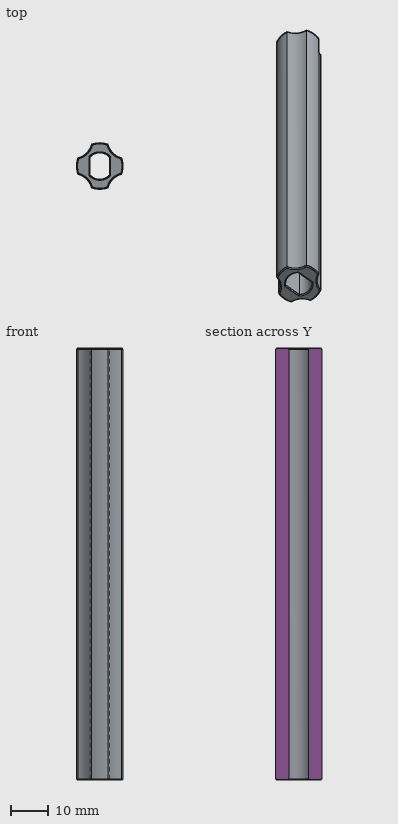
import cadquery as cq
import math

LENGTH = 115.6
OUTER_DIAMETER = 12.5
LOBE_WIDTH = 4.4
VALLEY_RADIUS = 5.0
BORE_DIAMETER = 7.0
BORE_FLAT_WIDTH = 5.2
EDGE_CHAMFER = 0.3

OUTER_RADIUS = OUTER_DIAMETER / 2
LOBE_COUNT = 4
LOBE_PITCH = 360 / LOBE_COUNT
LOBE_HALF_ANGLE = math.degrees(math.asin(LOBE_WIDTH / 2 / OUTER_RADIUS))


def polar_point(radius, angle):
    """Point at a radius and an angle in degrees from +X."""
    turn = math.radians(angle)
    return (radius * math.cos(turn), radius * math.sin(turn))


def fluted_bar():
    """Bar with four rounded lobes joined by concave flutes."""
    outline = cq.Workplane("XY").moveTo(*polar_point(OUTER_RADIUS, -LOBE_HALF_ANGLE))
    for lobe in range(LOBE_COUNT):
        middle = lobe * LOBE_PITCH
        outline = outline.threePointArc(
            polar_point(OUTER_RADIUS, middle),
            polar_point(OUTER_RADIUS, middle + LOBE_HALF_ANGLE),
        )
        outline = outline.threePointArc(
            polar_point(VALLEY_RADIUS, middle + LOBE_PITCH / 2),
            polar_point(OUTER_RADIUS, middle + LOBE_PITCH - LOBE_HALF_ANGLE),
        )
    return outline.close().extrude(LENGTH)


def double_flat_bore():
    """Through bore with two opposite flats facing X."""
    cylinder = cq.Workplane("XY").circle(BORE_DIAMETER / 2).extrude(LENGTH)
    flats = cq.Workplane("XY").rect(BORE_FLAT_WIDTH, BORE_DIAMETER).extrude(LENGTH)
    return cylinder.intersect(flats)


bar = fluted_bar().cut(double_flat_bore())
result = bar.faces("<Z or >Z").chamfer(EDGE_CHAMFER)